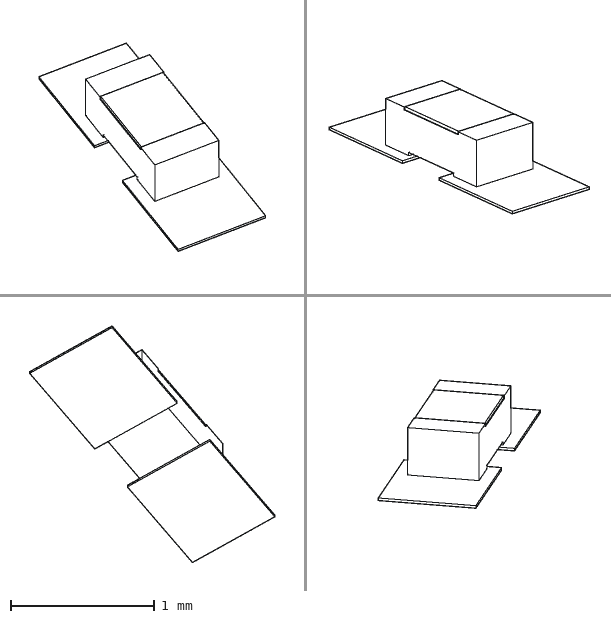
import cadquery as cq

overall_length = 2.0
pad_length = 0.8
pad_width = 0.7
pad_thickness = 0.02
pad_center_x = (overall_length - pad_length) / 2

chip_length = 0.995
chip_width = 0.512
chip_height = 0.352
chip_top = pad_thickness + chip_height

foot_gap = 0.488
foot_height = 0.025

coating_length = 0.585
coating_inset = 0.005
coating_width = chip_width - 2 * coating_inset
coating_rise = 0.002
coating_thickness = 0.025
coating_bottom = chip_top + coating_rise - coating_thickness


def make_pad(center_x):
    """Rectangular plate centred at the given X."""
    return (
        cq.Workplane("XY")
        .box(pad_length, pad_width, pad_thickness, centered=(True, True, False))
        .translate((center_x, 0, 0))
    )


def make_underside_gap():
    """Channel that separates the feet, open on both long sides."""
    return (
        cq.Workplane("XY", origin=(0, 0, pad_thickness))
        .box(foot_gap, chip_width, foot_height, centered=(True, True, False))
    )


def make_coating_recess():
    """Full-width channel across the top of the chip where the coating sits."""
    return (
        cq.Workplane("XY", origin=(0, 0, coating_bottom))
        .box(coating_length, chip_width, coating_thickness, centered=(True, True, False))
    )


def make_coating():
    """Raised panel that fills the recess except for a narrow step along each side."""
    return (
        cq.Workplane("XY", origin=(0, 0, coating_bottom))
        .box(coating_length, coating_width, coating_thickness, centered=(True, True, False))
    )


def make_chip():
    """Block with terminal feet below and an inset coating panel on top."""
    chip = (
        cq.Workplane("XY", origin=(0, 0, pad_thickness))
        .box(chip_length, chip_width, chip_height, centered=(True, True, False))
    )
    chip = chip.cut(make_underside_gap())
    chip = chip.cut(make_coating_recess())
    return chip.union(make_coating())


chip = make_chip()
pads = [make_pad(side * pad_center_x) for side in (-1, 1)]

result = cq.Compound.makeCompound([chip.val(), *[pad.val() for pad in pads]])